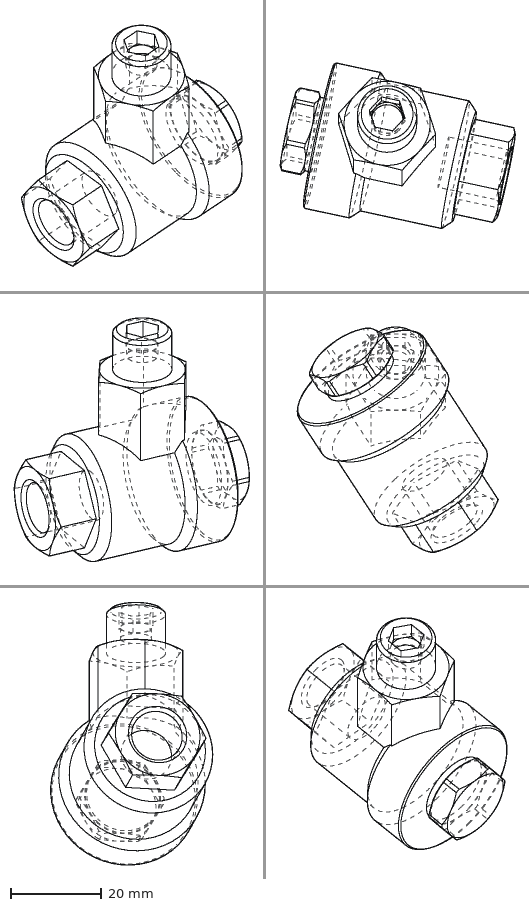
import cadquery as cq
import math


FLANGE_DIA = 33.0
BARREL_DIA = 29.0
REAR_Y = 15.5
REAR_CHAMFER = 0.4
FLANGE_FRONT_Y = 5.0
BARREL_FRONT_Y = -17.5
SHOULDER_STEP = (FLANGE_DIA - BARREL_DIA) / 2
NOSE_CHAMFER = SHOULDER_STEP

HEX_FLATS = 19.1
HEX_CORNER_DROP = 0.65
PORT_FRONT_Y = -27.0
STEM_HEX_TOP_Z = 28.05

THREAD_DIA = 13.15
THREAD_CORE_DIA = 11.45
THREAD_CHAMFER = (THREAD_DIA - THREAD_CORE_DIA) / 2
STEM_TOP_Z = 38.0
BORE_DIA = 11.4
BORE_CHAMFER = (THREAD_DIA - BORE_DIA) / 2
BORE_DEPTH = 14.15

SOCKET_FLATS = 7.0
SOCKET_DEPTH = 4.0
SOCKET_PILOT_DEPTH = 6.55

PLUG_NECK_DIA = 16.7
PLUG_HEAD_Y = 17.0
PLUG_REAR_Y = 22.4
PLUG_FLATS = 17.0
PLUG_CORNER_DIA = 19.1
PLUG_CORNER_DROP = 0.6

CORNERS_PER_FLATS = 2 / math.sqrt(3)
FLAT_TO_CORNER_TURN = 30


def y_plane(y):
    """Workplane at the given Y whose normal points to -Y."""
    return cq.Workplane("XZ", origin=(0, y, 0))


def chamfered_cylinder(dia, end_dia, drop, length, both_ends=False):
    """Cylinder on Z from 0 to length, coned to end_dia at its top or at both ends."""
    radius = dia / 2
    end_radius = end_dia / 2
    profile = cq.Workplane("XZ").moveTo(0, 0)
    if both_ends:
        profile = profile.lineTo(end_radius, 0).lineTo(radius, drop)
    else:
        profile = profile.lineTo(radius, 0)
    profile = profile.lineTo(radius, length - drop).lineTo(end_radius, length).lineTo(0, length)
    return profile.close().revolve(360, (0, 0, 0), (0, 1, 0))


def hex_prism(flats, length):
    """Hexagonal prism on Z from 0 to length, with corners on the X axis."""
    return cq.Workplane("XY").polygon(6, flats * CORNERS_PER_FLATS).extrude(length)


def turned_hex(length):
    """Housing hexagon with its corners turned down to the flats at the top end."""
    corner_dia = HEX_FLATS * CORNERS_PER_FLATS
    envelope = chamfered_cylinder(corner_dia, HEX_FLATS, HEX_CORNER_DROP, length)
    return hex_prism(HEX_FLATS, length).intersect(envelope)


def make_turned_body():
    flange_radius = FLANGE_DIA / 2
    barrel_radius = BARREL_DIA / 2
    return (
        cq.Workplane("XY")
        .moveTo(0, REAR_Y)
        .lineTo(flange_radius - REAR_CHAMFER, REAR_Y)
        .lineTo(flange_radius, REAR_Y - REAR_CHAMFER)
        .lineTo(flange_radius, FLANGE_FRONT_Y)
        .lineTo(barrel_radius, FLANGE_FRONT_Y - SHOULDER_STEP)
        .lineTo(barrel_radius, BARREL_FRONT_Y + NOSE_CHAMFER)
        .lineTo(barrel_radius - NOSE_CHAMFER, BARREL_FRONT_Y)
        .lineTo(0, BARREL_FRONT_Y)
        .close()
        .revolve(360, (0, 0, 0), (0, 1, 0))
    )


def make_stem():
    stem_hex = turned_hex(STEM_HEX_TOP_Z).rotate((0, 0, 0), (0, 0, 1), FLAT_TO_CORNER_TURN)
    thread = chamfered_cylinder(THREAD_DIA, THREAD_CORE_DIA, THREAD_CHAMFER, STEM_TOP_Z)
    return stem_hex.union(thread)


def make_socket():
    pilot = cq.Workplane("XY").circle(SOCKET_FLATS / 2).extrude(SOCKET_PILOT_DEPTH)
    socket = hex_prism(SOCKET_FLATS, SOCKET_DEPTH).rotate((0, 0, 0), (0, 0, 1), FLAT_TO_CORNER_TURN)
    return (
        pilot.translate((0, 0, STEM_TOP_Z - SOCKET_PILOT_DEPTH))
        .union(socket.translate((0, 0, STEM_TOP_Z - SOCKET_DEPTH)))
    )


def make_port_hex():
    port_hex = turned_hex(BARREL_FRONT_Y - PORT_FRONT_Y)
    return port_hex.rotate((0, 0, 0), (1, 0, 0), 90).translate((0, BARREL_FRONT_Y, 0))


def make_port_bore():
    bore = y_plane(PORT_FRONT_Y + BORE_DEPTH).circle(BORE_DIA / 2).extrude(BORE_DEPTH)
    countersink = cq.Workplane("XY").add(
        cq.Solid.makeCone(
            THREAD_DIA / 2, BORE_DIA / 2, BORE_CHAMFER,
            cq.Vector(0, PORT_FRONT_Y, 0), cq.Vector(0, 1, 0),
        )
    )
    return bore.union(countersink)


def make_housing():
    outside = make_turned_body().union(make_stem()).union(make_port_hex())
    return outside.cut(make_socket()).cut(make_port_bore())


def make_plug():
    """Hexagon head with truncated corners on a round neck that seats on the housing."""
    head_length = PLUG_REAR_Y - PLUG_HEAD_Y
    envelope = chamfered_cylinder(
        PLUG_CORNER_DIA, PLUG_FLATS, PLUG_CORNER_DROP, head_length, both_ends=True
    )
    head = hex_prism(PLUG_FLATS, head_length).intersect(envelope)
    head = head.rotate((0, 0, 0), (1, 0, 0), 90).translate((0, PLUG_REAR_Y, 0))
    neck = y_plane(PLUG_HEAD_Y).circle(PLUG_NECK_DIA / 2).extrude(PLUG_HEAD_Y - REAR_Y)
    return head.union(neck)


housing = make_housing()
plug = make_plug()
result = cq.Compound.makeCompound([housing.val(), plug.val()])